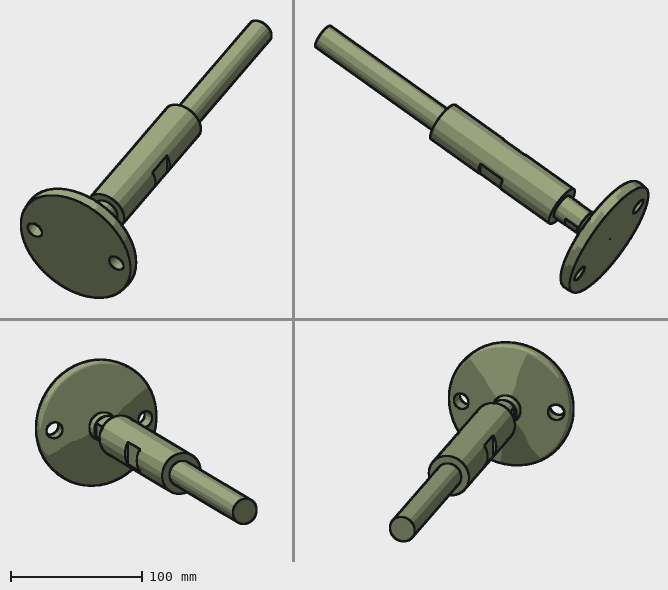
import cadquery as cq
import math

TOTAL_LENGTH = 277.0

FOOT_RADIUS = 98.0 / 2
RIM_HEIGHT = 7.0
CONE_EDGE_RADIUS = 46.8
CONE_EDGE_HEIGHT = 9.7
CONE_TOP_RADIUS = 11.0
CONE_TOP_HEIGHT = 15.8
TAPER_HEIGHT = 4.7
BASE_TAPER = 0.5
BASE_RADIUS = FOOT_RADIUS - BASE_TAPER
HOLE_DIAMETER = 12.5
HOLE_OFFSET = 36.0

ROD_RADIUS = 20.0 / 2
BALL_RADIUS = 11.5
BALL_CENTER = 12.0
NECK_RADIUS = 8.3
NECK_HEIGHT = BALL_CENTER + math.sqrt(BALL_RADIUS**2 - NECK_RADIUS**2)
SHOULDER_HEIGHT = 22.7
ROD_FLAT_WIDTH = 17.0
ROD_FLAT_START = 23.8
ROD_FLAT_END = 35.5

SLEEVE_RADIUS = 32.0 / 2
SLEEVE_START = 45.7
SLEEVE_LENGTH = 115.0
SLEEVE_FLAT_WIDTH = 27.0
SLEEVE_FLAT_LENGTH = 21.5
SLEEVE_FLAT_START = SLEEVE_START + (SLEEVE_LENGTH - SLEEVE_FLAT_LENGTH) / 2


def cylinder(radius, start, end):
    """Cylinder around the Y axis between two heights."""
    return cq.Workplane("XZ", origin=(0, start, 0)).circle(radius).extrude(start - end)


def ball():
    """Ball end of the spindle, also the shape of its socket."""
    return cq.Workplane("XY", origin=(0, BALL_CENTER, 0)).sphere(BALL_RADIUS)


def cut_wrench_flats(body, radius, width, start, end):
    """Cut two parallel flats, facing -X and +X, between two heights."""
    depth = radius - width / 2
    for side in (-1, 1):
        cutter = cq.Workplane("XY").box(depth, end - start, 2 * radius)
        body = body.cut(cutter.translate((side * (width + depth) / 2, (start + end) / 2, 0)))
    return body


def make_spindle():
    """Straight rod, tapered at its foot end to a neck that carries the ball."""
    rod = (
        cq.Workplane("XY")
        .moveTo(0, BALL_CENTER)
        .lineTo(NECK_RADIUS, BALL_CENTER)
        .lineTo(NECK_RADIUS, NECK_HEIGHT)
        .lineTo(ROD_RADIUS, SHOULDER_HEIGHT)
        .lineTo(ROD_RADIUS, TOTAL_LENGTH)
        .lineTo(0, TOTAL_LENGTH)
        .close()
        .revolve(360, (0, 0, 0), (0, 1, 0))
    )
    rod = cut_wrench_flats(rod, ROD_RADIUS, ROD_FLAT_WIDTH, ROD_FLAT_START, ROD_FLAT_END)
    return rod.union(ball())


def make_sleeve():
    """Plain tube around the rod with a pair of wrench flats at mid length."""
    end = SLEEVE_START + SLEEVE_LENGTH
    tube = cylinder(SLEEVE_RADIUS, SLEEVE_START, end).cut(cylinder(ROD_RADIUS, SLEEVE_START, end))
    flat_end = SLEEVE_FLAT_START + SLEEVE_FLAT_LENGTH
    return cut_wrench_flats(tube, SLEEVE_RADIUS, SLEEVE_FLAT_WIDTH, SLEEVE_FLAT_START, flat_end)


def make_foot():
    """Conical disc with a rounded rim, a tapered base, a ball socket and two holes square to the cone."""
    slope = math.atan2(CONE_TOP_HEIGHT - CONE_EDGE_HEIGHT, CONE_EDGE_RADIUS - CONE_TOP_RADIUS)
    disc = (
        cq.Workplane("XY")
        .lineTo(BASE_RADIUS, 0)
        .lineTo(FOOT_RADIUS, TAPER_HEIGHT)
        .lineTo(FOOT_RADIUS, RIM_HEIGHT)
        .tangentArcPoint((CONE_EDGE_RADIUS, CONE_EDGE_HEIGHT), relative=False)
        .lineTo(CONE_TOP_RADIUS, CONE_TOP_HEIGHT)
        .lineTo(0, CONE_TOP_HEIGHT)
        .close()
        .revolve(360, (0, 0, 0), (0, 1, 0))
    )
    for side in (-1, 1):
        axis = cq.Vector(side * math.sin(slope), math.cos(slope), 0)
        base_point = cq.Vector(side * HOLE_OFFSET, 0, 0)
        start = base_point - axis * CONE_TOP_HEIGHT
        hole = cq.Solid.makeCylinder(HOLE_DIAMETER / 2, 2 * CONE_TOP_HEIGHT, start, axis)
        disc = disc.cut(cq.Workplane(obj=hole))
    return disc.cut(ball())


spindle = make_spindle()
sleeve = make_sleeve()
foot = make_foot()

result = cq.Compound.makeCompound([spindle.val(), sleeve.val(), foot.val()])